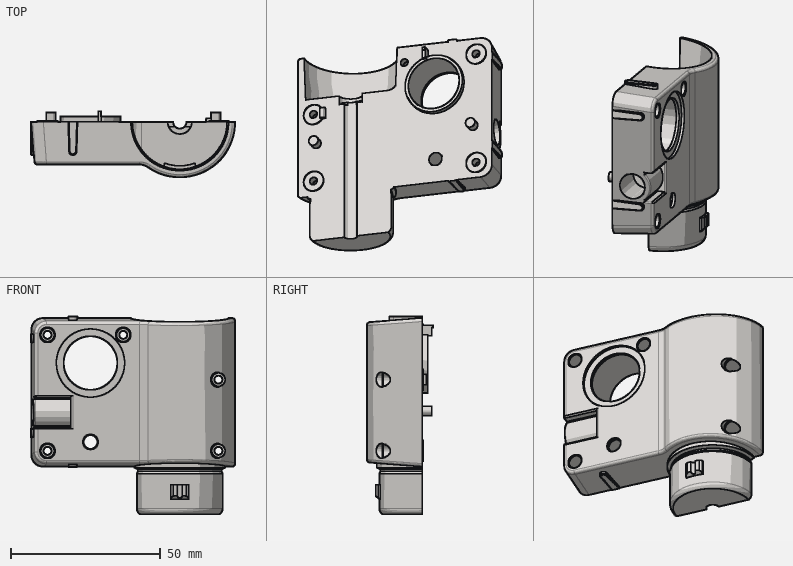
import cadquery as cq
import math


BODY_HEIGHT = 49.88
BODY_LEFT = -49.82
BODY_DEPTH = 14.3
DRAFT = math.tan(math.radians(4.4))
BARREL_RADIUS = 18.6
BLEND_RADIUS = 5.0
CORNER_RADIUS = 4.0
EDGE_RADIUS = 1.1

RECESS_DEPTH = 15.0
RECESS_TOP_RADIUS = 16.4
RECESS_FLOOR_RADIUS = 15.85
RECESS_FLOOR_Z = BODY_HEIGHT - RECESS_DEPTH
RAMP_START_X = -12.96
RAMP_RADIUS = 3.6
LATCH_INNER_RADIUS = 14.7
LATCH_HALF_ANGLE = 20.0
LATCH_DEPTH = 1.0
SHAFT_RADIUS = 2.2
SEAL_RADIUS = 4.05
SEAL_DEPTH = 2.0
SEAL_SLOT_HALF_WIDTH = 1.55
SEAL_SLOT_DEPTH = 1.0

NECK_LENGTH = 16.0
NECK_RADIUS = 14.42
GROOVE_RADIUS = 14.1
FLANGE_RADIUS = 15.3
FLANGE_BOTTOM = -0.3
FLANGE_TOP = 3.0
GROOVE_TOP = -0.9
GROOVE_BOTTOM = -1.6
NECK_TOP = -2.3
NECK_ROUND_HEIGHT = 2.0
NECK_ROUND_INSET = 1.1

NUB_RADIUS = 15.7
NUB_HALF_WIDTH = 3.05
NUB_CREST_HALF_WIDTH = 2.2
NUB_EDGE_Y = -14.8
NUB_ROOT_Y = -13.5
NUB_TOP = -6.0
NUB_BOTTOM = -10.9
NUB_BEVEL = 1.2
NUB_GROOVE_RADIUS = 0.85

BORE_X = -29.94
BORE_Z = 34.76
BORE_RADIUS = 8.95
BORE_MOUTH_RADIUS = 9.05
BORE_MOUTH_DEPTH = 1.0
SEAT_RADIUS = 11.45
SEAT_DEPTH = 1.0
COLLAR_RADIUS = 10.1
COLLAR_HEIGHT = 1.9

GUIDE_Z = 8.3
GUIDE_RADIUS = 2.3
GUIDE_MOUTH_RADIUS = 2.55
GUIDE_MOUTH_DEPTH = 1.0

SCREW_LEFT_X = -44.35
SCREW_INNER_X = -18.96
SCREW_BARREL_X = 12.96
SCREW_TOP_Z = 44.2
SCREW_LOW_Z = 5.3
SCREW_MID_Z = 29.2
SCREW_RADIUS = 1.3
HEAD_RADIUS = 2.25
HEAD_CHAMFER = 0.3
HEAD_SEAT_Y = -3.0
PAD_RADIUS = 3.5
PAD_HEIGHT = 0.4
PADDED_SCREWS = [
    (SCREW_LEFT_X, SCREW_TOP_Z),
    (SCREW_LEFT_X, SCREW_LOW_Z),
    (SCREW_BARREL_X, SCREW_MID_Z),
    (SCREW_BARREL_X, SCREW_LOW_Z),
]
SCREWS = PADDED_SCREWS + [(SCREW_INNER_X, SCREW_TOP_Z)]

PIN_XS = (-43.2, 12.05)
PIN_Z = 18.7
PIN_RADIUS = 1.65
PIN_HEIGHT = 3.2
TAB_X = -26.9
TAB_THICKNESS = 1.0
TAB_TOP = 47.5
TAB_BOTTOM = 43.9
TAB_HEIGHT = 3.2
TAB_LIP_HEIGHT = 3.65
TAB_LIP_LENGTH = 0.9
STOP_LEFT = 8.75
STOP_RIGHT = 10.5
STOP_LENGTH = 3.5
STOP_HEIGHT = 1.25
STOP_ROUND = 0.4

SOCKET_Y = -7.0
SOCKET_Z = 18.2
SOCKET_RADIUS = 4.35
TUNNEL_RADIUS = 6.22
TUNNEL_EDGE_RADIUS = 0.4
POCKET_RIGHT = -36.5
POCKET_FLOOR_Y = -11.3
POCKET_HALF_WIDTH = 5.0
POCKET_RIM_RADIUS = 0.55

RIB_WIDTH = 3.2
RIB_TIP_WIDTH = 2.6
RIB_LENGTH = 11.1
RIB_BEVEL = 0.3
RIB_ROOT = 1.5
LEFT_RIB_ZS = (11.3, 43.05)
END_RIB_X = -35.85
LEFT_RIB_X = -49.97
TOP_RIB_RISE = 0.62
BOTTOM_RIB_DROP = 0.2

CUT_MARGIN = 2.0
SELECTION_MARGIN = 0.01


def rod(x, z, radius, y_start, y_end):
    """Cylinder along Y between two Y positions."""
    length = y_end - y_start
    return cq.Workplane("XY").add(
        cq.Solid.makeCylinder(radius, length, cq.Vector(x, y_start, z), cq.Vector(0, 1, 0))
    )


def cylinder_z(radius, z_start, z_end):
    """Cylinder on the barrel axis, its seam turned away from the parting plane."""
    cylinder = cq.Workplane("XY").workplane(offset=z_start).circle(radius).extrude(z_end - z_start)
    return cylinder.rotate((0, 0, 0), (0, 0, 1), 90)


def block(x_range, y_range, z_range):
    """Box given by its limits along each axis."""
    sizes = [high - low for low, high in (x_range, y_range, z_range)]
    return cq.Workplane("XY").box(*sizes, centered=False).translate((x_range[0], y_range[0], z_range[0]))


def make_body():
    """Flat housing blended into the half barrel, drafted on the left face and both ends."""
    centre_distance = BARREL_RADIUS + BLEND_RADIUS
    blend_y = -BODY_DEPTH - BLEND_RADIUS
    blend_x = -math.sqrt(centre_distance**2 - blend_y**2)
    tangent_ratio = BARREL_RADIUS / centre_distance
    tangent = (blend_x * tangent_ratio, blend_y * tangent_ratio)
    left_front = (BODY_LEFT + DRAFT * BODY_DEPTH, -BODY_DEPTH)
    outline = (
        cq.Workplane("XY")
        .moveTo(BODY_LEFT, 0)
        .lineTo(*left_front)
        .lineTo(blend_x, -BODY_DEPTH)
        .radiusArc(tangent, BLEND_RADIUS)
        .threePointArc(
            (BARREL_RADIUS * math.sin(math.pi / 4), -BARREL_RADIUS * math.cos(math.pi / 4)),
            (BARREL_RADIUS, 0),
        )
        .close()
        .extrude(BODY_HEIGHT)
    )
    reach = BARREL_RADIUS + CUT_MARGIN
    slope = DRAFT * reach
    drafted_ends = (
        cq.Workplane("YZ")
        .workplane(offset=BODY_LEFT - CUT_MARGIN)
        .polyline([(0, 0), (0, BODY_HEIGHT), (-reach, BODY_HEIGHT - slope), (-reach, slope)])
        .close()
        .extrude(BARREL_RADIUS - BODY_LEFT + 2 * CUT_MARGIN)
    )
    body = outline.intersect(drafted_ends)
    left_face = cq.selectors.NearestToPointSelector((BODY_LEFT, -BODY_DEPTH / 2, BODY_HEIGHT / 2))
    body = body.faces(left_face).edges("not |Z").fillet(CORNER_RADIUS)
    left_edge = cq.selectors.NearestToPointSelector((*left_front, BODY_HEIGHT / 2))
    return body.edges(left_edge).fillet(EDGE_RADIUS)


def make_neck():
    """Half-round neck with a flange and a groove under the barrel."""
    round_radius = (NECK_ROUND_INSET**2 + NECK_ROUND_HEIGHT**2) / (2 * NECK_ROUND_INSET)
    half_profile = (
        cq.Workplane("XZ")
        .moveTo(0, FLANGE_TOP)
        .lineTo(FLANGE_RADIUS, FLANGE_TOP)
        .lineTo(FLANGE_RADIUS, FLANGE_BOTTOM)
        .lineTo(GROOVE_RADIUS, GROOVE_TOP)
        .lineTo(GROOVE_RADIUS, GROOVE_BOTTOM)
        .lineTo(NECK_RADIUS, NECK_TOP)
        .lineTo(NECK_RADIUS, NECK_ROUND_HEIGHT - NECK_LENGTH)
        .radiusArc((NECK_RADIUS - NECK_ROUND_INSET, -NECK_LENGTH), round_radius)
        .lineTo(0, -NECK_LENGTH)
        .close()
    )
    return half_profile.revolve(180, (0, 0, 0), (0, -1, 0))


def make_nub():
    """Grooved latch nub on the front of the neck, beveled at the bottom."""
    crest_y = -math.sqrt(NUB_RADIUS**2 - NUB_CREST_HALF_WIDTH**2)
    nub = (
        cq.Workplane("XY")
        .workplane(offset=NUB_BOTTOM)
        .moveTo(-NUB_HALF_WIDTH, NUB_ROOT_Y)
        .lineTo(-NUB_HALF_WIDTH, NUB_EDGE_Y)
        .lineTo(-NUB_CREST_HALF_WIDTH, crest_y)
        .threePointArc((0, -NUB_RADIUS), (NUB_CREST_HALF_WIDTH, crest_y))
        .lineTo(NUB_HALF_WIDTH, NUB_EDGE_Y)
        .lineTo(NUB_HALF_WIDTH, NUB_ROOT_Y)
        .close()
        .extrude(NUB_TOP - NUB_BOTTOM)
    )
    groove = cylinder_z(NUB_GROOVE_RADIUS, NUB_BOTTOM, NUB_TOP).translate((0, -NUB_RADIUS, 0))
    bevel = (
        cq.Workplane("YZ")
        .polyline([
            (-NUB_RADIUS, NUB_BOTTOM + NUB_BEVEL),
            (-NUB_RADIUS, NUB_BOTTOM),
            (-NECK_RADIUS, NUB_BOTTOM),
        ])
        .close()
        .extrude(NUB_HALF_WIDTH, both=True)
    )
    return nub.cut(groove).cut(bevel)


def make_recess():
    """Slightly conical recess with a rounded ramp on the left of its floor."""
    wall_lean = (RECESS_TOP_RADIUS - RECESS_FLOOR_RADIUS) / RECESS_DEPTH
    mouth_z = BODY_HEIGHT + CUT_MARGIN
    mouth_radius = RECESS_TOP_RADIUS + CUT_MARGIN * wall_lean
    cone = cq.Workplane("XY").add(
        cq.Solid.makeCone(
            RECESS_FLOOR_RADIUS,
            mouth_radius,
            mouth_z - RECESS_FLOOR_Z,
            cq.Vector(0, 0, RECESS_FLOOR_Z),
            cq.Vector(0, 0, 1),
        )
    )
    ramp_top = RECESS_FLOOR_Z + RAMP_RADIUS
    ramp_left = RAMP_START_X - RAMP_RADIUS
    ramp_block = block((ramp_left, RAMP_START_X), (-BARREL_RADIUS, 0), (RECESS_FLOOR_Z, ramp_top))
    ramp = ramp_block.cut(rod(RAMP_START_X, ramp_top, RAMP_RADIUS, -BARREL_RADIUS, 0))
    return cone.rotate((0, 0, 0), (0, 0, 1), 90).cut(ramp)


def make_latch_slot():
    """Shallow curved slot in the recess floor."""
    half_angle = math.radians(LATCH_HALF_ANGLE)
    side_x = 2 * BARREL_RADIUS * math.sin(half_angle)
    side_y = -2 * BARREL_RADIUS * math.cos(half_angle)
    bottom = RECESS_FLOOR_Z - LATCH_DEPTH
    sector = (
        cq.Workplane("XY")
        .workplane(offset=bottom)
        .polyline([(0, 0), (-side_x, side_y), (side_x, side_y)])
        .close()
        .extrude(LATCH_DEPTH)
    )
    ring = cylinder_z(RECESS_FLOOR_RADIUS, bottom, RECESS_FLOOR_Z)
    ring = ring.cut(cylinder_z(LATCH_INNER_RADIUS, bottom, RECESS_FLOOR_Z))
    return ring.intersect(sector)


def make_shaft_passage():
    """Shaft hole along the barrel axis with a seal seat in the recess floor."""
    seat_bottom = RECESS_FLOOR_Z - SEAL_DEPTH
    shaft = cylinder_z(SHAFT_RADIUS, -NECK_LENGTH - CUT_MARGIN, RECESS_FLOOR_Z)
    seat = cylinder_z(SEAL_RADIUS, seat_bottom, RECESS_FLOOR_Z)
    slot_bottom = seat_bottom - SEAL_SLOT_DEPTH
    slot = cylinder_z(SEAL_RADIUS, slot_bottom, seat_bottom).intersect(
        block(
            (-SEAL_RADIUS, SEAL_RADIUS),
            (-SEAL_SLOT_HALF_WIDTH, SEAL_SLOT_HALF_WIDTH),
            (slot_bottom, seat_bottom),
        )
    )
    return shaft.union(seat).union(slot)


def make_pocket():
    """Pocket with a rounded rim, open to the left, that leaves the round socket tunnel standing."""
    left = LEFT_RIB_X - CUT_MARGIN
    mouth_y = -BODY_DEPTH - CUT_MARGIN
    rim_start_y = -BODY_DEPTH + POCKET_RIM_RADIUS
    mouth_half_width = POCKET_HALF_WIDTH + POCKET_RIM_RADIUS
    mouth_right = POCKET_RIGHT + POCKET_RIM_RADIUS
    across = (
        cq.Workplane("YZ")
        .workplane(offset=left)
        .center(0, SOCKET_Z)
        .moveTo(POCKET_FLOOR_Y, -POCKET_HALF_WIDTH)
        .lineTo(POCKET_FLOOR_Y, POCKET_HALF_WIDTH)
        .lineTo(rim_start_y, POCKET_HALF_WIDTH)
        .radiusArc((-BODY_DEPTH, mouth_half_width), -POCKET_RIM_RADIUS)
        .lineTo(mouth_y, mouth_half_width)
        .lineTo(mouth_y, -mouth_half_width)
        .lineTo(-BODY_DEPTH, -mouth_half_width)
        .radiusArc((rim_start_y, -POCKET_HALF_WIDTH), -POCKET_RIM_RADIUS)
        .close()
        .extrude(mouth_right - left)
    )
    along = (
        cq.Workplane("XY")
        .moveTo(left, POCKET_FLOOR_Y)
        .lineTo(POCKET_RIGHT, POCKET_FLOOR_Y)
        .lineTo(POCKET_RIGHT, rim_start_y)
        .radiusArc((mouth_right, -BODY_DEPTH), -POCKET_RIM_RADIUS)
        .lineTo(mouth_right, mouth_y)
        .lineTo(left, mouth_y)
        .close()
        .extrude(BODY_HEIGHT)
    )
    return across.intersect(along).cut(make_socket(TUNNEL_RADIUS))


def make_socket(radius):
    """Cylinder along X on the socket axis, from outside the left face to the pocket end."""
    start = LEFT_RIB_X - CUT_MARGIN
    return (
        cq.Workplane("YZ")
        .workplane(offset=start)
        .center(SOCKET_Y, SOCKET_Z)
        .circle(radius)
        .extrude(POCKET_RIGHT - start)
    )


def add_side_socket(body):
    """Cut the pocket and the socket, and round the pocket edges on the left face."""
    face_end_y = -BODY_DEPTH + EDGE_RADIUS
    face_end_x = BODY_LEFT - DRAFT * face_end_y
    reach = POCKET_HALF_WIDTH + SELECTION_MARGIN
    pocket_edges = cq.selectors.BoxSelector(
        (BODY_LEFT, face_end_y, SOCKET_Z - reach),
        (face_end_x - SELECTION_MARGIN, POCKET_FLOOR_Y + SELECTION_MARGIN, SOCKET_Z + reach),
    )
    body = body.cut(make_pocket()).edges(pocket_edges).fillet(TUNNEL_EDGE_RADIUS)
    return body.cut(make_socket(SOCKET_RADIUS))


def make_screw_hole(x, z):
    """Through hole with a deep head pocket, chamfered where it meets the front surface."""
    on_barrel = x > 0
    surface_y = -math.sqrt(BARREL_RADIUS**2 - x**2) if on_barrel else -BODY_DEPTH
    chamfer_radius = HEAD_RADIUS + HEAD_CHAMFER
    through = rod(x, z, SCREW_RADIUS, HEAD_SEAT_Y, PAD_HEIGHT)
    head = rod(x, z, HEAD_RADIUS, surface_y, HEAD_SEAT_Y)
    chamfer = cq.Solid.makeCone(
        chamfer_radius,
        HEAD_RADIUS,
        HEAD_CHAMFER,
        cq.Vector(x, surface_y, z),
        cq.Vector(0, 1, 0),
    )
    mouth = rod(x, z, chamfer_radius, -BARREL_RADIUS, surface_y)
    return through.union(head).union(cq.Workplane("XY").add(chamfer)).union(mouth)


def make_bore():
    """Main through bore with a shallow front seat and a slightly wider mouth."""
    seat_y = -BODY_DEPTH + SEAT_DEPTH
    bore = rod(BORE_X, BORE_Z, BORE_RADIUS, -BODY_DEPTH, COLLAR_HEIGHT + CUT_MARGIN)
    mouth = rod(BORE_X, BORE_Z, BORE_MOUTH_RADIUS, seat_y, seat_y + BORE_MOUTH_DEPTH)
    seat = rod(BORE_X, BORE_Z, SEAT_RADIUS, -BODY_DEPTH, seat_y)
    return bore.union(mouth).union(seat)


def make_guide_hole():
    """Through hole with a wider front mouth."""
    hole = rod(BORE_X, GUIDE_Z, GUIDE_RADIUS, -BODY_DEPTH, 0)
    mouth = rod(BORE_X, GUIDE_Z, GUIDE_MOUTH_RADIUS, -BODY_DEPTH, -BODY_DEPTH + GUIDE_MOUTH_DEPTH)
    return hole.union(mouth)


def make_parting_details():
    """Collar, screw pads, pins, tab and stop standing on the parting plane."""
    details = rod(BORE_X, BORE_Z, COLLAR_RADIUS, 0, COLLAR_HEIGHT)
    for x, z in PADDED_SCREWS:
        details = details.union(rod(x, z, PAD_RADIUS, 0, PAD_HEIGHT))
    for x in PIN_XS:
        details = details.union(rod(x, PIN_Z, PIN_RADIUS, 0, PIN_HEIGHT))
    tab_x = (TAB_X - TAB_THICKNESS / 2, TAB_X + TAB_THICKNESS / 2)
    details = details.union(block(tab_x, (0, TAB_HEIGHT), (TAB_BOTTOM, TAB_TOP)))
    details = details.union(block(tab_x, (0, TAB_LIP_HEIGHT), (TAB_TOP - TAB_LIP_LENGTH, TAB_TOP)))
    stop = block(
        (STOP_LEFT, STOP_RIGHT),
        (0, STOP_HEIGHT),
        (SCREW_MID_Z - STOP_LENGTH / 2, SCREW_MID_Z + STOP_LENGTH / 2),
    )
    return details.union(stop.edges("<X and >Y").fillet(STOP_ROUND))


def make_rib():
    """Tapered rib lying along -Y, its flat crest at Z = 0 and its root below."""
    tip_radius = RIB_TIP_WIDTH / 2
    tip_start = -RIB_LENGTH + tip_radius
    return (
        cq.Workplane("XY")
        .workplane(offset=-RIB_ROOT)
        .moveTo(-RIB_WIDTH / 2, 0)
        .lineTo(-tip_radius, tip_start)
        .threePointArc((0, -RIB_LENGTH), (tip_radius, tip_start))
        .lineTo(RIB_WIDTH / 2, 0)
        .close()
        .extrude(RIB_ROOT)
        .faces(">Z")
        .edges("not >Y")
        .chamfer(RIB_BEVEL)
    )


def turn_rib(angle):
    """Rib turned about Y so that its crest faces the wanted side."""
    return make_rib().rotate((0, 0, 0), (0, 1, 0), angle)


def make_ribs():
    """One rib on each end of the body and two on the left face."""
    ribs = turn_rib(0).translate((END_RIB_X, 0, BODY_HEIGHT + TOP_RIB_RISE))
    ribs = ribs.union(turn_rib(180).translate((END_RIB_X, 0, -BOTTOM_RIB_DROP)))
    for z in LEFT_RIB_ZS:
        ribs = ribs.union(turn_rib(-90).translate((LEFT_RIB_X, 0, z)))
    return ribs


solid = add_side_socket(make_body())
solid = solid.union(make_neck()).union(make_nub())
solid = solid.union(make_ribs()).union(make_parting_details())
solid = solid.cut(make_recess()).cut(make_latch_slot()).cut(make_shaft_passage())
solid = solid.cut(make_bore()).cut(make_guide_hole())
for screw_x, screw_z in SCREWS:
    solid = solid.cut(make_screw_hole(screw_x, screw_z))

result = solid